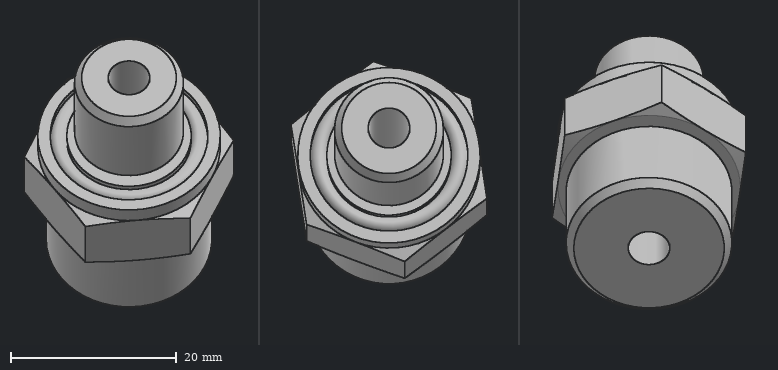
import cadquery as cq
import math

lower_thread_top = 12.0
hex_top = 20.3
collar_top = 22.5
total_height = 34.5

lower_thread_diameter = 20.0
upper_thread_diameter = 13.15
hex_across_flats = 22.0
collar_diameter = hex_across_flats
bore_diameter = 5.0

chamfer_height = 0.93
lower_chamfer_width = 0.93
upper_chamfer_width = 0.85

hex_chamfer_angle = 15.0

groove_outer_diameter = 19.0
groove_inner_diameter = 15.0
ring_radius = (groove_outer_diameter - groove_inner_diameter) / 4

hex_across_corners = hex_across_flats / math.cos(math.radians(30))


def cylinder(diameter, bottom, top):
    return cq.Workplane("XY").workplane(offset=bottom).circle(diameter / 2).extrude(top - bottom)


def thread_body(diameter, bottom, top, chamfer_width):
    """Cylinder at the thread's outer diameter, chamfered at both ends."""
    radius = diameter / 2
    end_radius = radius - chamfer_width
    profile = [
        (0, bottom),
        (end_radius, bottom),
        (radius, bottom + chamfer_height),
        (radius, top - chamfer_height),
        (end_radius, top),
        (0, top),
    ]
    return cq.Workplane("XZ").polyline(profile).close().revolve(360, (0, 0), (0, 1))


def hexagon():
    """Hexagon with corners on the Y axis and both ends turned to a shallow cone."""
    prism = (
        cq.Workplane("XY")
        .workplane(offset=lower_thread_top)
        .transformed(rotate=(0, 0, 90))
        .polygon(6, hex_across_corners)
        .extrude(hex_top - lower_thread_top)
    )
    flat_radius = hex_across_flats / 2
    corner_radius = hex_across_corners / 2
    corner_drop = (corner_radius - flat_radius) * math.tan(math.radians(hex_chamfer_angle))
    turned_profile = [
        (0, lower_thread_top),
        (flat_radius, lower_thread_top),
        (corner_radius, lower_thread_top + corner_drop),
        (corner_radius, hex_top - corner_drop),
        (flat_radius, hex_top),
        (0, hex_top),
    ]
    turned = cq.Workplane("XZ").polyline(turned_profile).close().revolve(360, (0, 0), (0, 1))
    return prism.intersect(turned)


def sealing_groove():
    """Ring-shaped groove in the collar's top face, cut down to the sealing ring's center."""
    outer = cylinder(groove_outer_diameter, collar_top - ring_radius, collar_top)
    inner = cylinder(groove_inner_diameter, collar_top - ring_radius, collar_top)
    return outer.cut(inner)


def sealing_ring():
    """Rounded upper half of the ring, filling the groove and level with the collar's top face."""
    inner_radius = groove_inner_diameter / 2
    outer_radius = groove_outer_diameter / 2
    ring_center = collar_top - ring_radius
    return (
        cq.Workplane("XZ")
        .moveTo(inner_radius, ring_center)
        .threePointArc((inner_radius + ring_radius, collar_top), (outer_radius, ring_center))
        .close()
        .revolve(360, (0, 0), (0, 1))
    )


lower_thread = thread_body(lower_thread_diameter, 0, lower_thread_top, lower_chamfer_width)
upper_thread = thread_body(upper_thread_diameter, collar_top, total_height, upper_chamfer_width)
collar = cylinder(collar_diameter, hex_top, collar_top)
bore = cylinder(bore_diameter, 0, total_height)

body = lower_thread.union(hexagon()).union(collar).union(upper_thread)
result = body.cut(sealing_groove()).union(sealing_ring()).cut(bore)